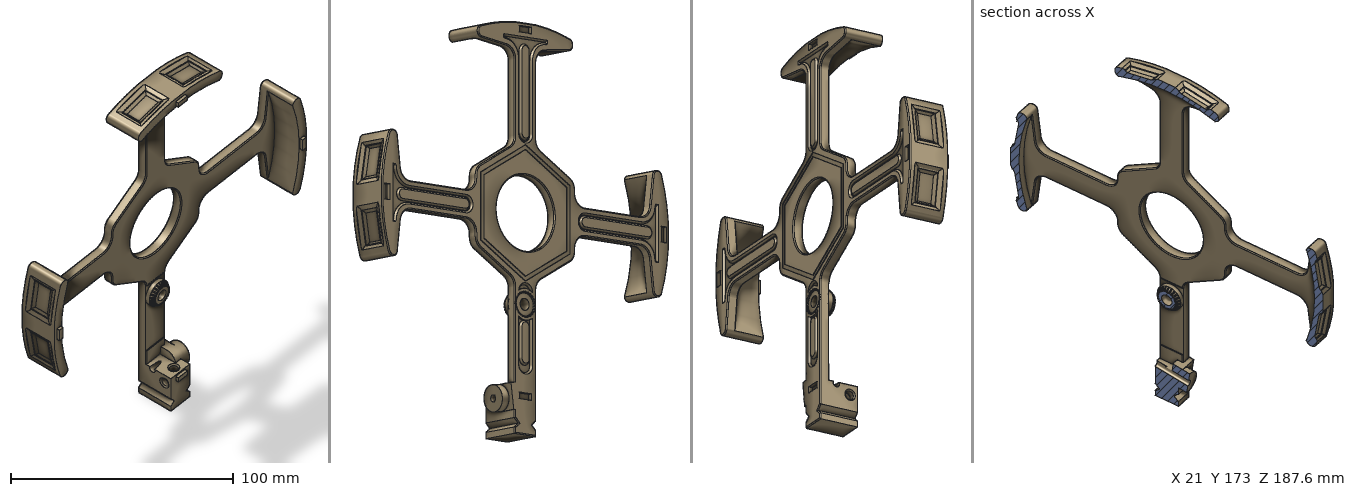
import cadquery as cq
import math


plate_thickness = 5.0
edge_chamfer = 0.5
blend_radius = 6.0
hub_apothem = 30.0
bore_diameter = 34.77
hub_groove_outer_apothem = 26.9
hub_groove_width = 1.9
hub_groove_depth = 0.3

span = 173.0
head_reach = span / 2
total_height = 187.6
head_depth = 19.5
arm_half_width = 6.5
head_radius = 86.75
head_wall = 5.2
head_half_length = 28.8
head_tip_height = 77.3
head_root_height = 74.5
head_tip_radius = 2.7

channel_half_width = 4.2
channel_depth = 1.0
channel_taper = 40.0
channel_start = 31.8
channel_flare_start = 70.0
channel_flare_radius = 8.0
channel_tip = (13.2, 78.5)
channel_top = 80.1
rib_half_width = 3.0
rib_start = 33.2
rib_end = 77.0

key_center = 83.5
key_length = 6.3
key_width = 2.5
overall_depth = 21.0
key_height = overall_depth - head_depth
socket_length = 7.2
socket_width = 3.0
socket_depth = 2.0

pocket_offset = 14.7
pocket_center_x = 9.95
pocket_rim = (15.0, 20.6)
pocket_step = (10.5, 16.2)
pocket_floor = (7.0, 13.3)
pocket_rim_depth = 0.5
pocket_step_depth = 1.2
pocket_wall_depth = 1.7
pocket_depth = 2.3
pocket_inner_shift = 0.5

leg_bottom = head_reach - total_height
leg_thickness = 4.5
leg_thin_top = -34.0
leg_step = -73.4
block_top = -81.4
notch_top = -93.9
notch_root = -96.2
notch_bottom = -98.2
notch_depth = 2.3
leg_rib_top = -48.8
leg_rib_bottom = -69.3

knob_z = -41.6
knob_diameter = 13.0
knob_tip_diameter = 10.4
knob_tip_x = 8.7
knob_cone_start_x = 6.7
knob_hole_diameter = 5.4
tooth_socket_floor_diameter = 10.4
tooth_socket_rim_diameter = 11.2
tooth_socket_depth = 0.7
tooth_count = 24
tooth_groove_width = 0.6
tooth_groove_depth = 0.7
seat_diameter = 14.5

wheel_x = 8.5
wheel_y = 10.0
wheel_z = -84.5
wheel_tilt = 8.0
wheel_diameter = 12.3
wheel_thickness = 4.0
collar_length = 5.5
shaft_hole_diameter = 3.2
block_hole_x = 15.6
side_hole_z = -86.2
block_hole_diameter = 4.1
block_hole_rim_diameter = 5.4
block_hole_depth = 3.5

HEAD_ANGLES = (0, 90, -90)
overlap = 0.5
wall_start = plate_thickness - 2 * edge_chamfer
hex_half_angle = math.radians(30)


def spin(shape, angle):
    """Turn a shape about the X axis through the hub."""
    return shape.rotate((0, 0, 0), (1, 0, 0), angle)


def face_plane(x):
    """Workplane parallel to the plate at height x; local axes are Y and Z."""
    return cq.Workplane("YZ", origin=(x, 0, 0))


def box_between(x_range, y_range, z_range):
    size = [high - low for low, high in (x_range, y_range, z_range)]
    low_corner = (x_range[0], y_range[0], z_range[0])
    return cq.Workplane("XY").box(*size, centered=False).translate(low_corner)


def hexagon(apothem, depth):
    """Hexagonal prism with flats facing +Y and -Y."""
    corner_diameter = 2 * apothem / math.cos(hex_half_angle)
    return spin(face_plane(0).polygon(6, corner_diameter).extrude(depth), 90)


def round_corners(body, points, radius):
    """Fillet the edges along X that pass through the given (y, z) points."""
    tolerance = 0.2
    for y, z in points:
        corner = cq.selectors.BoxSelector(
            (-overlap, y - tolerance, z - tolerance),
            (head_depth + overlap, y + tolerance, z + tolerance),
        )
        body = body.edges("|X").edges(corner).fillet(radius)
    return body


def head_outline(depth):
    """Prism of the T head: curved rim with a short middle flat, rounded tips, sloping underside."""
    tip_top = math.sqrt(head_radius**2 - head_half_length**2)
    flat_half = math.sqrt(head_radius**2 - head_reach**2)
    middle = (head_half_length + flat_half) / 2
    middle_z = math.sqrt(head_radius**2 - middle**2)
    head = (
        face_plane(0)
        .moveTo(-head_half_length, head_tip_height)
        .lineTo(-head_half_length, tip_top)
        .threePointArc((-middle, middle_z), (-flat_half, head_reach))
        .lineTo(flat_half, head_reach)
        .threePointArc((middle, middle_z), (head_half_length, tip_top))
        .lineTo(head_half_length, head_tip_height)
        .lineTo(arm_half_width, head_root_height)
        .lineTo(-arm_half_width, head_root_height)
        .close()
        .extrude(depth)
    )
    tips = [
        (side * head_half_length, z)
        for side in (-1, 1)
        for z in (head_tip_height, tip_top)
    ]
    return round_corners(head, tips, head_tip_radius)


def spider_plate():
    plate = hexagon(hub_apothem, plate_thickness)
    hub_side = hub_apothem * math.tan(hex_half_angle)
    side_corners = [(y, z) for y in (-hub_apothem, hub_apothem) for z in (-hub_side, hub_side)]
    plate = round_corners(plate, side_corners, blend_radius)

    arm = box_between((0, plate_thickness), (-arm_half_width, arm_half_width), (0, head_root_height + overlap))
    head_arm = arm.union(head_outline(plate_thickness))
    root_corners = [(-arm_half_width, head_root_height), (arm_half_width, head_root_height)]
    head_arm = round_corners(head_arm, root_corners, blend_radius)
    for angle in HEAD_ANGLES:
        plate = plate.union(spin(head_arm, angle))
    plate = plate.union(
        box_between((0, plate_thickness), (-arm_half_width, arm_half_width), (leg_bottom, 0))
    )

    hub_meet_z = hub_apothem / math.cos(hex_half_angle) - arm_half_width * math.tan(hex_half_angle)
    for side in (-1, 1):
        for end in (-1, 1):
            meeting_points = [
                (side * arm_half_width, end * hub_meet_z),
                (side * hub_apothem, end * arm_half_width),
            ]
            plate = round_corners(plate, meeting_points, blend_radius)
    return plate


def side_notches():
    """V grooves across both flanks of the clamp block."""
    notch = (
        face_plane(-overlap)
        .polyline([
            (arm_half_width, notch_top),
            (arm_half_width - notch_depth, notch_root),
            (arm_half_width, notch_bottom),
        ])
        .close()
        .extrude(head_depth + 2 * overlap)
    )
    return notch.union(notch.mirror("XZ"))


def head_wall_body():
    """Deep part of a head: the rim band concentric with the hub."""
    inside = face_plane(0).circle(head_radius - head_wall).extrude(head_depth)
    return head_outline(head_depth).cut(inside)


def tapered_block(plane, bottom, top, low, high):
    """Frustum between two rectangles at the given offsets from a workplane."""
    lower = plane.workplane(offset=low).rect(*bottom)
    return lower.workplane(offset=high - low).rect(*top).loft(combine=True)


def grip_pocket(side):
    """Stepped pocket square to the rim, on the given side of the head's middle."""
    angle = side * math.asin(pocket_offset / head_radius)
    normal = (0, math.sin(angle), math.cos(angle))
    origin = (pocket_center_x, head_radius * normal[1], head_radius * normal[2])
    rim = cq.Workplane(cq.Plane(origin=origin, xDir=(1, 0, 0), normal=normal))
    inner = rim.center(0, side * pocket_inner_shift)
    deep = tapered_block(inner, pocket_floor, pocket_step, -pocket_depth, -pocket_wall_depth)
    wall = inner.workplane(offset=-pocket_wall_depth).rect(*pocket_step)
    deep = deep.union(wall.extrude(pocket_wall_depth - pocket_step_depth))
    shallow = tapered_block(rim, pocket_step, pocket_rim, -pocket_step_depth, -pocket_rim_depth)
    mouth = rim.workplane(offset=-pocket_rim_depth).rect(*pocket_rim).extrude(2 * pocket_rim_depth)
    return deep.union(shallow).union(mouth)


def slot_rib(z_low, z_high):
    """Raised rib with sloping walls that stands on the channel floor."""
    length = z_high - z_low
    return (
        face_plane(channel_depth)
        .center(0, (z_low + z_high) / 2)
        .slot2D(length, 2 * rib_half_width, 90)
        .extrude(-channel_depth, taper=channel_taper)
    )


def arm_channel():
    """Flared channel around the rib of a head arm."""
    flare_y = channel_half_width + channel_flare_radius
    flare_z = channel_flare_start + channel_flare_radius
    bend = channel_flare_radius * (1 - math.cos(math.radians(45)))
    bend_point = (channel_half_width + bend, flare_z - bend)
    tip_y, tip_z = channel_tip
    round_z = channel_start + channel_half_width
    channel = (
        face_plane(0)
        .moveTo(channel_half_width, round_z)
        .lineTo(channel_half_width, channel_flare_start)
        .threePointArc(bend_point, (flare_y, flare_z))
        .lineTo(tip_y, tip_z)
        .lineTo(tip_y, channel_top)
        .lineTo(-tip_y, channel_top)
        .lineTo(-tip_y, tip_z)
        .lineTo(-flare_y, flare_z)
        .threePointArc((-bend_point[0], bend_point[1]), (-channel_half_width, channel_flare_start))
        .lineTo(-channel_half_width, round_z)
        .threePointArc((0, channel_start), (channel_half_width, round_z))
        .close()
        .extrude(channel_depth, taper=channel_taper)
    )
    return channel.cut(slot_rib(rib_start, rib_end))


def leg_channel():
    """Channel of the leg, interrupted by the round seat of the knob."""
    length = -channel_start - leg_step
    channel = (
        face_plane(0)
        .center(0, leg_step + length / 2)
        .slot2D(length, 2 * channel_half_width, 90)
        .extrude(channel_depth, taper=channel_taper)
    )
    seat = face_plane(0).center(0, knob_z).circle(seat_diameter / 2).extrude(channel_depth)
    return channel.cut(seat).cut(slot_rib(leg_rib_bottom, leg_rib_top))


def key():
    start = head_depth - overlap
    return face_plane(start).center(0, key_center).rect(key_length, key_width).extrude(key_height + overlap)


def key_socket():
    """Recess in the plate face that takes the key of a stacked part."""
    return face_plane(0).center(0, key_center).rect(socket_length, socket_width).extrude(socket_depth)


def cone(x_low, diameter_low, x_high, diameter_high):
    low = face_plane(x_low).center(0, knob_z).circle(diameter_low / 2)
    return low.workplane(offset=x_high - x_low).circle(diameter_high / 2).loft(combine=True)


def around_knob(tooth):
    """Repeat a tooth cutter all round the knob axis."""
    ring = cq.Workplane("XY")
    for index in range(tooth_count):
        turned = tooth.rotate((0, 0, knob_z), (1, 0, knob_z), index * 360 / tooth_count)
        ring = ring.add(turned)
    return ring.combine()


def knob():
    base = face_plane(leg_thickness - overlap).center(0, knob_z).circle(knob_diameter / 2)
    body = base.extrude(knob_cone_start_x - leg_thickness + overlap)
    body = body.union(cone(knob_cone_start_x, knob_diameter, knob_tip_x, knob_tip_diameter))
    half = tooth_groove_width / 2
    groove_floor = knob_tip_diameter / 2 - tooth_groove_depth
    tooth_gap = (
        cq.Workplane("XZ", origin=(0, half, knob_z))
        .polyline([
            (knob_cone_start_x, knob_diameter / 2),
            (knob_tip_x, groove_floor),
            (knob_tip_x, knob_diameter / 2),
        ])
        .close()
        .extrude(tooth_groove_width)
    )
    return body.cut(around_knob(tooth_gap))


def tooth_socket():
    """Conical seat in the plate face with notches for the teeth of a mating knob."""
    seat = cone(0, tooth_socket_rim_diameter, tooth_socket_depth, tooth_socket_floor_diameter)
    half = tooth_groove_width / 2
    rim = tooth_socket_rim_diameter / 2
    notch = box_between((0, tooth_groove_depth), (-half, half), (0, rim + half))
    return seat.union(around_knob(notch.translate((0, 0, knob_z))))


def wheel_plane():
    tilt = math.radians(wheel_tilt)
    axis = (0, math.cos(tilt), -math.sin(tilt))
    return cq.Workplane(cq.Plane(origin=(wheel_x, wheel_y, wheel_z), xDir=(1, 0, 0), normal=axis))


def thumbwheel():
    """Wheel on a round collar, which a square pad carries down to the plate face."""
    wheel_start = wheel_plane().workplane(offset=-wheel_thickness / 2)
    wheel = wheel_start.circle(wheel_diameter / 2).extrude(wheel_thickness)
    collar = wheel_start.circle(wheel_diameter / 2).extrude(-collar_length)
    pad = wheel_start.center(-wheel_x / 2, 0).rect(wheel_x, wheel_diameter).extrude(-collar_length)
    return wheel.union(collar).union(pad)


def shaft_hole():
    reach = wheel_y + 2 * arm_half_width
    return wheel_plane().circle(shaft_hole_diameter / 2).extrude(reach, both=True)


def sunk_hole(surface):
    """Blind hole entering against the surface normal, countersunk at 45 degrees."""
    sink = (block_hole_rim_diameter - block_hole_diameter) / 2
    hole = surface.circle(block_hole_diameter / 2).extrude(-block_hole_depth)
    rim = surface.circle(block_hole_rim_diameter / 2).workplane(offset=-sink)
    return hole.union(rim.circle(block_hole_diameter / 2).loft(combine=True))


def side_hole():
    return sunk_hole(cq.Workplane("XZ", origin=(block_hole_x, -arm_half_width, side_hole_z)))


def top_hole():
    return sunk_hole(cq.Workplane("XY", origin=(block_hole_x, 0, block_top)))


def hub_groove():
    inner = hexagon(hub_groove_outer_apothem - hub_groove_width, hub_groove_depth)
    return hexagon(hub_groove_outer_apothem, hub_groove_depth).cut(inner)


body = spider_plate().cut(side_notches())
body = body.cut(face_plane(0).circle(bore_diameter / 2).extrude(plate_thickness))
body = body.faces("<X or >X").edges().chamfer(edge_chamfer)
body = body.cut(hub_groove())

head_band = head_wall_body().intersect(
    box_between((wall_start, head_depth), (-span, span), (0, span))
)
for head_angle in HEAD_ANGLES:
    body = body.union(spin(head_band, head_angle)).union(spin(key(), head_angle))
    body = body.cut(spin(key_socket(), head_angle)).cut(spin(arm_channel(), head_angle))
    for pocket_side in (-1, 1):
        body = body.cut(spin(grip_pocket(pocket_side), head_angle))

shank_relief = box_between(
    (leg_thickness, plate_thickness + overlap),
    (-arm_half_width - overlap, arm_half_width + overlap),
    (leg_step, leg_thin_top),
)
clamp_block = box_between(
    (wall_start, head_depth), (-arm_half_width, arm_half_width), (leg_bottom, block_top)
)
body = body.cut(shank_relief).union(clamp_block.cut(side_notches()))
body = body.union(thumbwheel())
body = body.union(spin(key(), 180)).cut(spin(key_socket(), 180)).cut(leg_channel())
body = body.cut(shaft_hole()).cut(side_hole()).cut(top_hole())

body = body.union(knob()).cut(tooth_socket())
result = body.cut(face_plane(0).center(0, knob_z).circle(knob_hole_diameter / 2).extrude(knob_tip_x))